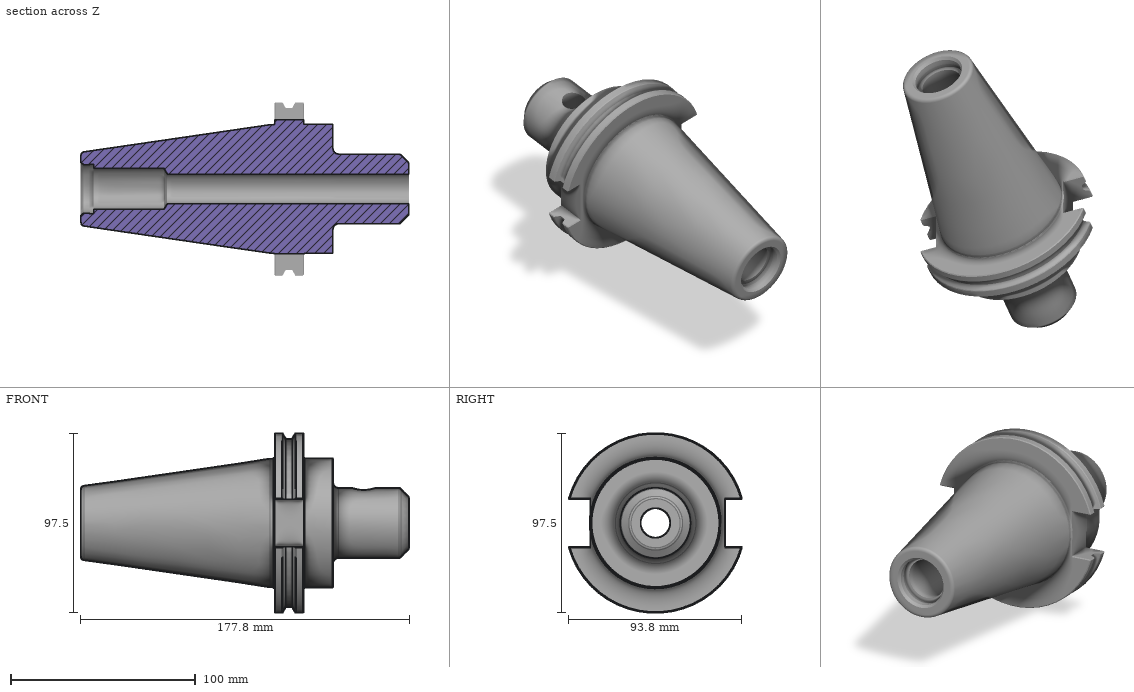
import cadquery as cq
import math


GAUGE_RADIUS = 69.85 / 2
TAPER_LENGTH = 102.5
TAPER_RATE = 7 / 24
SMALL_END_RADIUS = GAUGE_RADIUS - TAPER_LENGTH * TAPER_RATE / 2
SMALL_END_FILLET = 2.0

FLANGE_RADIUS = 97.5 / 2
FLANGE_START = 2.45
FLANGE_END = 18.35
GROOVE_CENTRE = 10.25
GROOVE_FLOOR_RADIUS = 91.25 / 2
GROOVE_FLOOR_WIDTH = 3.4
GROOVE_RIM_WIDTH = 7.0
GROOVE_LIP_FILLET = 0.6
FLANGE_CHAMFER = 0.5
TAPER_SIDE_FILLET = 0.75
SHANK_SIDE_FILLET = 0.4

SLOT_WIDTH = 25.7
SLOT_FLOOR_PLUS_Y = 37.7
SLOT_FLOOR_MINUS_Y = 35.3

SHANK_RADIUS = 70.2 / 2
SHANK_END = 34.25
SHANK_CHAMFER = 0.5
PILOT_RADIUS = 38.1 / 2
PILOT_END = 177.82 - TAPER_LENGTH
PILOT_ROOT_FILLET = 2.8
NOSE_CHAMFER = 5.0
NOSE_ANGLE = math.radians(45)
NOSE_CORNER_FILLET = 1.5
NOSE_FACE_FILLET = 1.8

THROUGH_BORE_RADIUS = 15.88 / 2
REAR_BORE_RADIUS = 21.97 / 2
REAR_BORE_DEPTH = 45.0
REAR_BORE_TIP_ANGLE = math.radians(118)
COUNTERBORE_RADIUS = 26.2 / 2
COUNTERBORE_DEPTH = 7.0
RELIEF_RADIUS = 26.7 / 2
RELIEF_WIDTH = 2.3
MOUTH_RADIUS = 28.6 / 2
MOUTH_DEPTH = 1.5

CROSS_HOLE_DIAMETER = 12.75
CROSS_HOLE_X = 50.75


def revolve(profile):
    return profile.close().revolve(360, (0, 0, 0), (1, 0, 0))


def make_body():
    """Taper, gauge cylinder, shank and pilot as one turned piece."""
    nose_start = PILOT_END - NOSE_CHAMFER
    corner_setback = NOSE_CORNER_FILLET * math.tan(NOSE_ANGLE / 2)
    body = revolve(
        cq.Workplane("XY")
        .moveTo(-TAPER_LENGTH, 0)
        .lineTo(-TAPER_LENGTH, SMALL_END_RADIUS)
        .lineTo(0, GAUGE_RADIUS)
        .lineTo(FLANGE_START - TAPER_SIDE_FILLET, GAUGE_RADIUS)
        .radiusArc((FLANGE_START, GAUGE_RADIUS + TAPER_SIDE_FILLET), -TAPER_SIDE_FILLET)
        .lineTo(FLANGE_START, GAUGE_RADIUS)
        .lineTo(FLANGE_END, GAUGE_RADIUS)
        .lineTo(FLANGE_END, SHANK_RADIUS + SHANK_SIDE_FILLET)
        .radiusArc((FLANGE_END + SHANK_SIDE_FILLET, SHANK_RADIUS), -SHANK_SIDE_FILLET)
        .lineTo(SHANK_END - SHANK_CHAMFER, SHANK_RADIUS)
        .lineTo(SHANK_END, SHANK_RADIUS - SHANK_CHAMFER)
        .lineTo(SHANK_END, PILOT_RADIUS + PILOT_ROOT_FILLET)
        .radiusArc((SHANK_END + PILOT_ROOT_FILLET, PILOT_RADIUS), -PILOT_ROOT_FILLET)
        .lineTo(nose_start - corner_setback, PILOT_RADIUS)
        .radiusArc(
            (
                nose_start + corner_setback * math.cos(NOSE_ANGLE),
                PILOT_RADIUS - corner_setback * math.sin(NOSE_ANGLE),
            ),
            NOSE_CORNER_FILLET,
        )
        .lineTo(PILOT_END, PILOT_RADIUS - NOSE_CHAMFER)
        .lineTo(PILOT_END, 0)
    )
    body = body.faces("<X").edges().fillet(SMALL_END_FILLET)
    return body.faces(">X").edges().fillet(NOSE_FACE_FILLET)


def make_groove():
    """Ring cutter for the V-groove in the flange rim."""
    floor_half = GROOVE_FLOOR_WIDTH / 2
    rim_half = GROOVE_RIM_WIDTH / 2
    flank_angle = math.atan2(FLANGE_RADIUS - GROOVE_FLOOR_RADIUS, rim_half - floor_half)
    lip_setback = GROOVE_LIP_FILLET * math.tan(flank_angle / 2)
    lip_outer = rim_half + lip_setback
    lip_inner = rim_half - lip_setback * math.cos(flank_angle)
    lip_inner_radius = FLANGE_RADIUS - lip_setback * math.sin(flank_angle)
    return revolve(
        cq.Workplane("XY")
        .moveTo(GROOVE_CENTRE - floor_half, GROOVE_FLOOR_RADIUS)
        .lineTo(GROOVE_CENTRE + floor_half, GROOVE_FLOOR_RADIUS)
        .lineTo(GROOVE_CENTRE + lip_inner, lip_inner_radius)
        .radiusArc((GROOVE_CENTRE + lip_outer, FLANGE_RADIUS), GROOVE_LIP_FILLET)
        .lineTo(GROOVE_CENTRE - lip_outer, FLANGE_RADIUS)
        .radiusArc((GROOVE_CENTRE - lip_inner, lip_inner_radius), GROOVE_LIP_FILLET)
    )


def make_slot(side, floor):
    """Box cutter for one drive slot; side is +1 for +Y and -1 for -Y."""
    width = FLANGE_END - FLANGE_START
    return (
        cq.Workplane("XY")
        .box(width, FLANGE_RADIUS, SLOT_WIDTH)
        .translate((FLANGE_START + width / 2, side * (floor + FLANGE_RADIUS / 2), 0))
    )


def make_flange():
    """Disc with two drive slots, chamfered edges and the V-groove."""
    flange = (
        cq.Workplane("YZ")
        .workplane(offset=FLANGE_START)
        .circle(FLANGE_RADIUS)
        .extrude(FLANGE_END - FLANGE_START)
    )
    flange = flange.cut(make_slot(1, SLOT_FLOOR_PLUS_Y))
    flange = flange.cut(make_slot(-1, SLOT_FLOOR_MINUS_Y))
    mid_wall = (SLOT_FLOOR_PLUS_Y + FLANGE_RADIUS) / 2
    wall_corners = flange.edges("|X").filter(lambda edge: abs(edge.Center().y) > mid_wall)
    flange = wall_corners.chamfer(FLANGE_CHAMFER)
    flange = flange.faces("<X or >X").edges("not |Z").chamfer(FLANGE_CHAMFER)
    return flange.cut(make_groove())


def make_bore():
    """Through bore with the rear bore, counterbore, relief and tapered mouth."""
    rear = -TAPER_LENGTH
    floor = rear + COUNTERBORE_DEPTH
    rear_bore_end = rear + REAR_BORE_DEPTH
    tip = (REAR_BORE_RADIUS - THROUGH_BORE_RADIUS) / math.tan(REAR_BORE_TIP_ANGLE / 2)
    return revolve(
        cq.Workplane("XY")
        .moveTo(rear, 0)
        .lineTo(rear, MOUTH_RADIUS)
        .lineTo(rear + MOUTH_DEPTH, COUNTERBORE_RADIUS)
        .lineTo(floor - RELIEF_WIDTH, COUNTERBORE_RADIUS)
        .lineTo(floor - RELIEF_WIDTH, RELIEF_RADIUS)
        .lineTo(floor, RELIEF_RADIUS)
        .lineTo(floor, REAR_BORE_RADIUS)
        .lineTo(rear_bore_end, REAR_BORE_RADIUS)
        .lineTo(rear_bore_end + tip, THROUGH_BORE_RADIUS)
        .lineTo(PILOT_END, THROUGH_BORE_RADIUS)
        .lineTo(PILOT_END, 0)
    )


def make_cross_hole():
    """Radial hole from the +Z side of the pilot into the through bore."""
    return (
        cq.Workplane("XY")
        .center(CROSS_HOLE_X, 0)
        .circle(CROSS_HOLE_DIAMETER / 2)
        .extrude(PILOT_RADIUS)
    )


result = make_body().union(make_flange()).cut(make_bore()).cut(make_cross_hole())